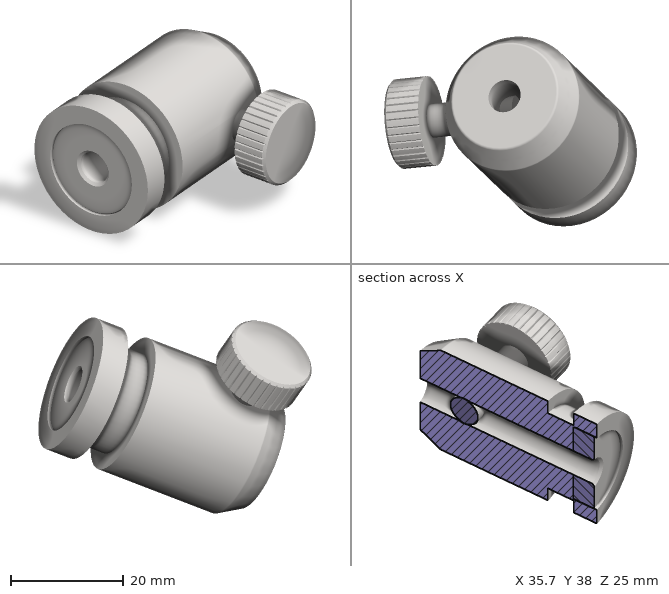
import cadquery as cq
import math

housing_length = 38
housing_diameter = 25.0
flange_length = 5.0
groove_length = 5.47
groove_diameter = 19
nose_length = 4.5
nose_angle = 30
nose_fillet = 0.5

bore_diameter = 6.0
bore_chamfer = 0.5

insert_diameter = 17.95
insert_setback = 0.5
insert_chamfer = 0.2

screw_y = 28.5
screw_diameter = 6.0
screw_tip_x = 0.72
knob_start_x = 16.65
knob_end_x = 23.15
knob_diameter = 16.05
knob_chamfer = 0.5
knurl_count = 36
knurl_width = 0.38
knurl_flank_angle = 40
knurl_phase = -2.8

housing_radius = housing_diameter / 2
groove_radius = groove_diameter / 2
groove_end = flange_length + groove_length
nose_start = housing_length - nose_length
nose_radius = housing_radius - nose_length * math.tan(math.radians(nose_angle))
insert_length = flange_length - insert_setback


def cylinder_along_y(diameter, start, length):
    plane = cq.Plane(origin=(0, start, 0), xDir=(1, 0, 0), normal=(0, 1, 0))
    return cq.Workplane(plane).circle(diameter / 2).extrude(length)


def cylinder_along_x(diameter, start, end):
    plane = cq.Plane(origin=(start, screw_y, 0), xDir=(0, 1, 0), normal=(1, 0, 0))
    return cq.Workplane(plane).circle(diameter / 2).extrude(end - start)


def make_housing():
    profile = (
        cq.Workplane("XY")
        .moveTo(0, 0)
        .lineTo(housing_radius, 0)
        .lineTo(housing_radius, flange_length)
        .lineTo(groove_radius, flange_length)
        .lineTo(groove_radius, groove_end)
        .lineTo(housing_radius, groove_end)
        .lineTo(housing_radius, nose_start)
        .lineTo(nose_radius, housing_length)
        .lineTo(0, housing_length)
        .close()
    )
    body = profile.revolve(360, (0, 0, 0), (0, 1, 0))

    nose_rims = cq.selectors.BoxSelector(
        (-housing_diameter, nose_start - nose_fillet, -housing_diameter),
        (housing_diameter, housing_length + nose_fillet, housing_diameter),
        boundingbox=True,
    )
    body = body.edges(nose_rims).edges("%CIRCLE").fillet(nose_fillet)

    body = body.cut(cylinder_along_y(insert_diameter, 0, flange_length))
    body = body.cut(cylinder_along_y(bore_diameter, 0, housing_length))
    return body.cut(cylinder_along_x(screw_diameter, screw_tip_x, housing_radius))


def make_insert():
    disc = cylinder_along_y(insert_diameter, insert_setback, insert_length)
    disc = disc.faces("<Y").edges().chamfer(insert_chamfer)
    disc = disc.cut(cylinder_along_y(bore_diameter, insert_setback, insert_length))
    bore_mouth = disc.faces("<Y").edges(cq.selectors.RadiusNthSelector(0))
    return bore_mouth.chamfer(bore_chamfer)


def make_knurl_cutters():
    knob_radius = knob_diameter / 2
    flank_slope = math.tan(math.radians(knurl_flank_angle))
    groove_depth = knurl_width / 2 / flank_slope
    outer_half_width = knurl_width
    apex_radius = knob_radius - groove_depth
    outer_radius = apex_radius + outer_half_width / flank_slope
    plane = cq.Plane(origin=(knob_start_x, screw_y, 0), xDir=(0, 1, 0), normal=(1, 0, 0))
    cutter = (
        cq.Workplane(plane)
        .polyline([
            (0, apex_radius),
            (outer_half_width, outer_radius),
            (-outer_half_width, outer_radius),
        ])
        .close()
        .extrude(knob_end_x - knob_start_x)
    )
    axis_start = (0, screw_y, 0)
    axis_end = (1, screw_y, 0)
    cutters = []
    for index in range(knurl_count):
        angle = knurl_phase + index * 360 / knurl_count
        cutters.append(cutter.rotate(axis_start, axis_end, angle).val())
    return cq.Compound.makeCompound(cutters)


def make_screw():
    knob = cylinder_along_x(knob_diameter, knob_start_x, knob_end_x)
    knob = knob.faces(">X").edges().chamfer(knob_chamfer)
    knob = knob.cut(cq.Workplane(make_knurl_cutters()))
    return knob.union(cylinder_along_x(screw_diameter, screw_tip_x, knob_start_x))


housing = make_housing()
insert = make_insert()
screw = make_screw()

result = cq.Compound.makeCompound([housing.val(), insert.val(), screw.val()])